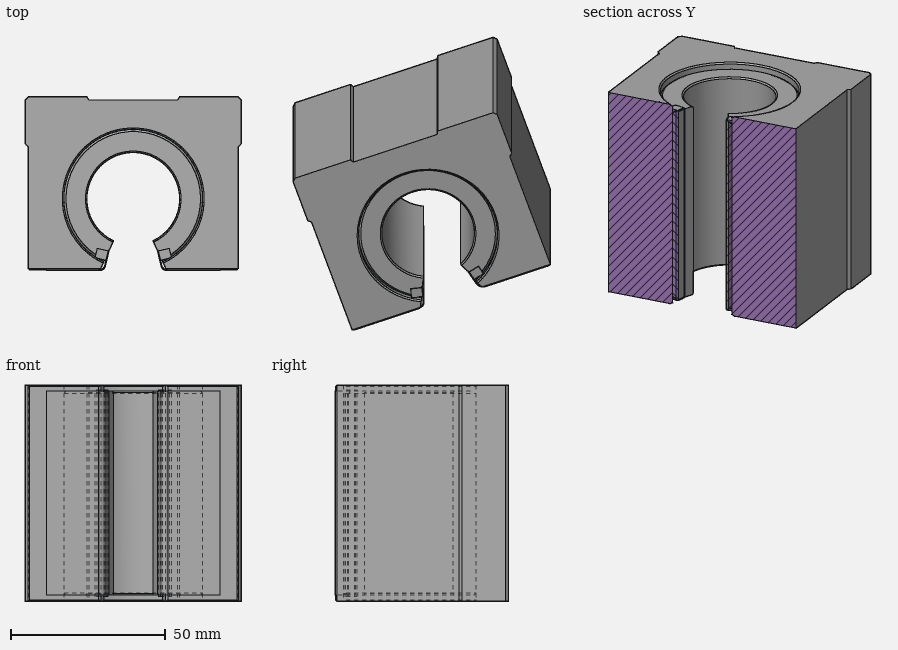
import cadquery as cq
import math

LENGTH = 70.0
HALF_WIDTH = 35.0
SIDE_SETBACK = 1.0
SIDE_STEP_Y = 17.85
BACK_Y = 33.05
SHEET_FRONT_Y = -23.25
SLOT_HALF_ANGLE = 25.0

BACK_GROOVE_DEPTH = 1.05
GROOVE_HALF_WIDTH = 15.0
GROOVE_FLANK_RUN = 0.6
BACK_CORNER = 1.05

BUSHING_RADIUS = 22.5
BORE_RADIUS = 15.0
BUSHING_LENGTH = 66.0
OUTER_CHAMFER = 0.7
EDGE_CHAMFER = 0.5

SHEET_THICKNESS = 0.3
SHEET_LENGTH = BUSHING_LENGTH
SHEET_BEND_RADIUS = 2.0
FLANGE_END_X = 28.15
LEG_TILT = 13.5
LEG_TOP_X = 7.8

STRIP_DROP = 0.3
STRIP_WIDTH = 3.65
STRIP_HEIGHT = 3.1
STRIP_PROTRUSION = 0.35

housing_front_y = SHEET_FRONT_Y + SHEET_THICKNESS
leg_top_y = -LEG_TOP_X / math.tan(math.radians(SLOT_HALF_ANGLE))
leg_sin = math.sin(math.radians(LEG_TILT))
leg_cos = math.cos(math.radians(LEG_TILT))


def centred_extrusion(sketch, length):
    """Extrude a sketch in the XY plane equally to both sides of Z = 0."""
    return sketch.extrude(length / 2, both=True)


def cylinder(radius, length):
    return centred_extrusion(cq.Workplane("XY").circle(radius), length)


def slot_wedge():
    """Wedge from the bore axis out past the front, with radial sides."""
    reach = 2 * BUSHING_RADIUS
    half_opening = reach * math.tan(math.radians(SLOT_HALF_ANGLE))
    outline = cq.Workplane("XY").polyline([(0, 0), (half_opening, -reach), (-half_opening, -reach)]).close()
    return centred_extrusion(outline, LENGTH)


def leg_point(along, across):
    """Point measured from the top outer corner of the +X sheet leg, down the leg and into the bushing."""
    x = LEG_TOP_X + along * leg_sin + across * leg_cos
    y = leg_top_y - along * leg_cos + across * leg_sin
    return (x, y)


def make_housing():
    side_x = HALF_WIDTH - SIDE_SETBACK
    groove_y = BACK_Y - BACK_GROOVE_DEPTH
    half_outline = [
        (0, groove_y),
        (GROOVE_HALF_WIDTH - GROOVE_FLANK_RUN, groove_y),
        (GROOVE_HALF_WIDTH, BACK_Y),
        (HALF_WIDTH - BACK_CORNER, BACK_Y),
        (HALF_WIDTH, BACK_Y - BACK_CORNER),
        (HALF_WIDTH, SIDE_STEP_Y),
        (side_x, SIDE_STEP_Y - SIDE_SETBACK),
        (side_x, housing_front_y),
        (0, housing_front_y),
    ]
    block = centred_extrusion(cq.Workplane("XY").polyline(half_outline).mirrorY(), LENGTH)
    block = block.cut(slot_wedge()).faces("<Y").chamfer(EDGE_CHAMFER)
    bore = cylinder(BUSHING_RADIUS, LENGTH)
    for end in (1, -1):
        bore = bore.union(countersink(BUSHING_RADIUS, end * LENGTH / 2))
    return block.cut(bore)


def countersink(radius, mouth_z):
    """Cone that chamfers a bore whose mouth is at mouth_z, narrowing toward Z = 0."""
    cone = cq.Solid.makeCone(
        radius + EDGE_CHAMFER,
        radius,
        EDGE_CHAMFER,
        pnt=cq.Vector(0, 0, mouth_z),
        dir=cq.Vector(0, 0, -mouth_z),
    )
    return cq.Workplane(cone)


def make_slotted_ring():
    """Open ring that the bushing and its two lips are parted from."""
    ring = cylinder(BUSHING_RADIUS, BUSHING_LENGTH).faces("|Z").chamfer(OUTER_CHAMFER)
    bore = cylinder(BORE_RADIUS, BUSHING_LENGTH)
    for end in (1, -1):
        bore = bore.union(countersink(BORE_RADIUS, end * BUSHING_LENGTH / 2))
    return ring.cut(bore).cut(slot_wedge())


def make_sheet():
    """Cover sheet on the +X side of the slot."""
    outer_drop = (leg_top_y - SHEET_FRONT_Y) / leg_cos
    inner_drop = outer_drop - SHEET_THICKNESS * (1 - leg_sin) / leg_cos
    outer_corner = leg_point(outer_drop, 0)
    inner_corner = leg_point(inner_drop, SHEET_THICKNESS)
    outline = cq.Workplane("XY").polyline([
        leg_point(0, 0),
        outer_corner,
        (FLANGE_END_X, SHEET_FRONT_Y),
        (FLANGE_END_X, housing_front_y),
        inner_corner,
        leg_point(0, SHEET_THICKNESS),
    ]).close()
    sheet = centred_extrusion(outline, SHEET_LENGTH)
    sheet = sheet.edges(cq.selectors.NearestToPointSelector((*outer_corner, 0))).fillet(SHEET_BEND_RADIUS)
    inner_bend = cq.selectors.NearestToPointSelector((*inner_corner, 0))
    return sheet.edges(inner_bend).fillet(SHEET_BEND_RADIUS - SHEET_THICKNESS)


def make_strip():
    """Seal strip on the +X side of the slot; its deep corner is cut off at the bushing radius."""
    strip_bottom = STRIP_DROP + STRIP_HEIGHT
    far_side = SHEET_THICKNESS + STRIP_WIDTH
    outline = cq.Workplane("XY").polyline([
        leg_point(STRIP_DROP, SHEET_THICKNESS),
        leg_point(STRIP_DROP, far_side),
        leg_point(strip_bottom, far_side),
        leg_point(strip_bottom, SHEET_THICKNESS),
    ]).close()
    strip = centred_extrusion(outline, BUSHING_LENGTH + 2 * STRIP_PROTRUSION)
    return strip.intersect(cylinder(BUSHING_RADIUS, LENGTH))


housing = make_housing()

right_sheet = make_sheet()
sheets = [right_sheet, right_sheet.mirror("YZ")]

right_strip = make_strip()
strips = [right_strip, right_strip.mirror("YZ")]

ring = make_slotted_ring()
for insert in sheets + strips:
    ring = ring.cut(insert)
bushing, *lips = sorted(ring.solids().vals(), key=lambda solid: solid.Volume(), reverse=True)

result = cq.Compound.makeCompound([
    housing.val(),
    bushing,
    *lips,
    *[sheet.val() for sheet in sheets],
    *[strip.val() for strip in strips],
])